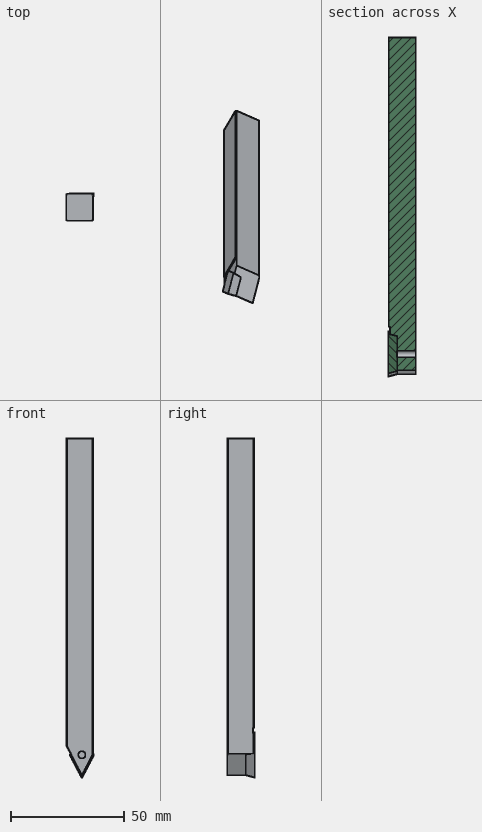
import cadquery as cq
import math

total_length = 150.0
shank_width = 12.0
shank_chamfer = 0.5

insert_circle = 9.525
insert_angle = 55.0
insert_thickness = 3.97
insert_clearance = 7.0
nose_radius = 0.2
side_overhang = 0.34
top_overhang = 0.23

head_setback = 0.6
relief_length = 22.0
relief_depth = 0.5
screw_hole_diameter = 3.2

half_angle = math.radians(insert_angle / 2)
insert_side = insert_circle / math.sin(2 * half_angle)
half_long = insert_side * math.cos(half_angle)
half_short = insert_side * math.sin(half_angle)
nose_trim = nose_radius * (1 / math.sin(half_angle) - 1)
side_corner_trim = nose_radius * (1 / math.cos(half_angle) - 1)

insert_x = shank_width + side_overhang - half_short + side_corner_trim
insert_z = half_long - nose_trim
rake_y = shank_width + top_overhang
seat_y = rake_y - insert_thickness

head_tip_z = head_setback / math.sin(half_angle) - nose_trim
left_shoulder_z = head_tip_z + insert_x / math.tan(half_angle)
right_shoulder_z = head_tip_z + (shank_width - insert_x) / math.tan(half_angle)


def plane_at_y(y):
    """Workplane facing -Y whose local axes are X and Z."""
    return cq.Workplane("XZ", origin=(0, y, 0))


def make_insert():
    """Rhombic insert, tapering from the rake face down to its seat, with rounded corners."""
    rhombus = [
        (insert_x, insert_z - half_long),
        (insert_x + half_short, insert_z),
        (insert_x, insert_z + half_long),
        (insert_x - half_short, insert_z),
    ]
    body = plane_at_y(rake_y).polyline(rhombus).close().extrude(insert_thickness, taper=insert_clearance)
    leaning_edges = body.faces("not(|Y)").edges("not(#Y)")
    return leaning_edges.fillet(nose_radius)


def make_shank():
    """Square bar with chamfered long edges."""
    bar = cq.Workplane("XY").rect(shank_width, shank_width, centered=False).extrude(total_length)
    return bar.edges("|Z").chamfer(shank_chamfer)


def head_outline():
    """Full-depth prism of the pointed holder."""
    outline = [
        (insert_x, head_tip_z),
        (shank_width, right_shoulder_z),
        (shank_width, total_length),
        (0, total_length),
        (0, left_shoulder_z),
    ]
    return plane_at_y(shank_width).polyline(outline).close().extrude(shank_width)


def chip_relief():
    """Shallow step across the +Y face around the insert."""
    step = cq.Workplane("XY", origin=(0, shank_width - relief_depth, 0))
    return step.box(shank_width, relief_depth, relief_length, centered=False)


def screw_hole():
    """Hole from the -Y face up to the insert seat."""
    return plane_at_y(seat_y).center(insert_x, insert_z).circle(screw_hole_diameter / 2).extrude(seat_y)


insert = make_insert()
holder = make_shank().intersect(head_outline())
holder = holder.cut(chip_relief()).cut(screw_hole()).cut(insert)

result = cq.Compound.makeCompound([holder.val(), insert.val()])